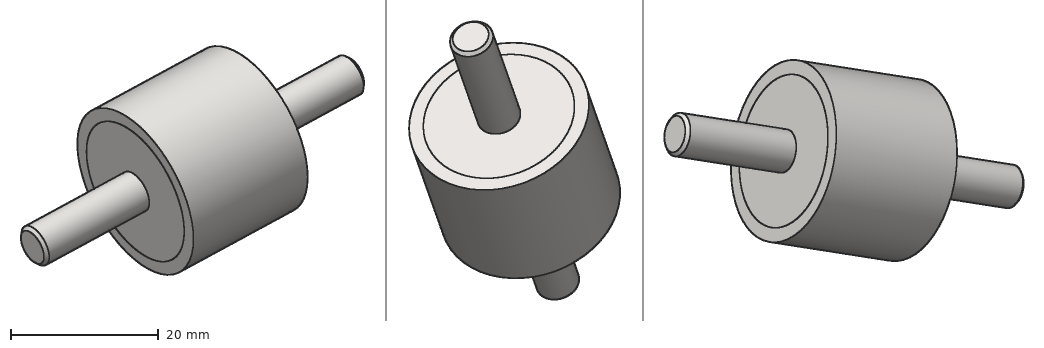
import cadquery as cq

overall_length = 56.0
rubber_length = 20.0
rubber_diameter = 25.0
plate_diameter = 21.0
plate_thickness = 2.0
stud_diameter = 6.0
tip_chamfer = 0.5

half_rubber = rubber_length / 2
stud_length = (overall_length - rubber_length) / 2


def cylinder_y(diameter, start_y, length):
    """Cylinder on the Y axis running from start_y toward +Y."""
    return cq.Workplane("XZ", origin=(0, start_y, 0)).circle(diameter / 2).extrude(-length)


def make_rubber():
    """Rubber cylinder with a flush plate recess in each end face."""
    body = cylinder_y(rubber_diameter, -half_rubber, rubber_length)
    for recess_start in (-half_rubber, half_rubber - plate_thickness):
        body = body.cut(cylinder_y(plate_diameter, recess_start, plate_thickness))
    return body


def make_stud_plate(turn_angle):
    """Stud and its end plate as one solid, made at the +Y end and turned about Z."""
    plate = cylinder_y(plate_diameter, half_rubber - plate_thickness, plate_thickness)
    stud = cylinder_y(stud_diameter, half_rubber, stud_length)
    stud = stud.faces(">Y").chamfer(tip_chamfer)
    return plate.union(stud).rotate((0, 0, 0), (0, 0, 1), turn_angle)


rubber = make_rubber()
stud_plates = [make_stud_plate(turn_angle) for turn_angle in (0, 180)]

result = cq.Compound.makeCompound([rubber.val(), *[body.val() for body in stud_plates]])